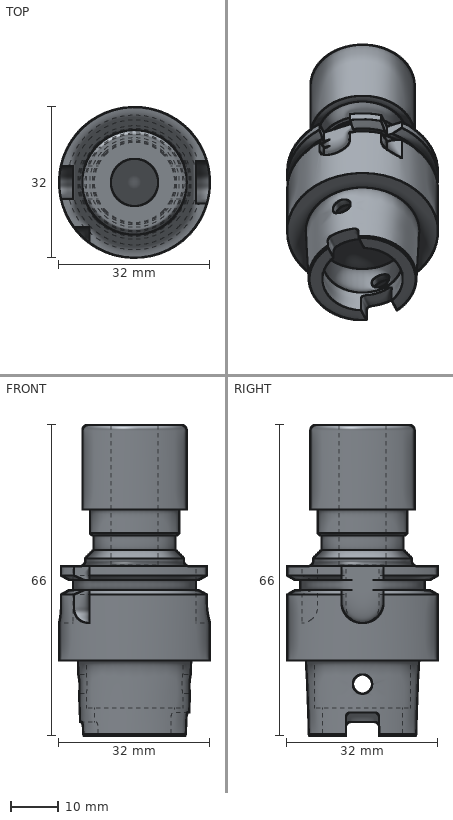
import cadquery as cq
import math

TOTAL_HEIGHT = 66.0
SHANK_TOP = 16.0
GROOVE_LOWER_RIM = 29.95
GROOVE_BEVEL_HEIGHT = 1.0
GROOVE_UPPER_RIM = 34.05
FLANGE_TOP = 36.05
CONE_BOTTOM = 37.7
CONE_TOP = 39.5
NECK_TOP = 42.5
HEAD_BOTTOM = 48.0

FLANGE_DIAMETER = 32.0
FLANGE_RADIUS = FLANGE_DIAMETER / 2
GROOVE_RADIUS = 13.25
GROOVE_BEVEL_ANGLE = 30.0
SHANK_TOP_DIAMETER = 24.1
SHANK_END_DIAMETER = 22.9
SHANK_CHAMFER_RADIAL = 0.2
SHANK_CHAMFER_HEIGHT = 0.45
BASE_RADIUS = 10.5
BASE_FILLET = 1.05
NECK_RADIUS = 8.7
COLLAR_RADIUS = 9.5
COLLAR_CHAMFER = 0.5
HEAD_RADIUS = 11.1
HEAD_FILLET = 1.25

TOOL_BORE_DIAMETER = 10.0
TOOL_BORE_DEPTH = 29.7
SHANK_MOUTH_DIAMETER = 17.0
SHANK_MOUTH_HEIGHT = 5.95
SHANK_RECESS_DIAMETER = 20.45
CROSS_HOLE_DIAMETER = 4.0
CROSS_HOLE_HEIGHT = 11.0

SLOT_BOTTOM = 23.95
KEYWAY_FLOOR = 13.1
NARROW_SLOT_WIDTH = 7.0
WIDE_KEYWAY_WIDTH = 9.0
NOTCH_FLOOR = 9.5
NOTCH_CENTER_Y = -13.0

DRIVER_SLOT_WIDTH = 7.0
LEFT_DRIVER_SLOT_DEPTH = 3.0
RIGHT_DRIVER_SLOT_DEPTH = 5.0
DRIVER_SLOT_FILLET = 1.0


def turned_body():
    """Shank, grooved flange, neck, collar and head as one revolved profile."""
    bevel_radius = FLANGE_RADIUS - GROOVE_BEVEL_HEIGHT / math.tan(math.radians(GROOVE_BEVEL_ANGLE))
    fillet_mid = BASE_FILLET * (1 - math.sqrt(0.5))
    profile = (
        cq.Workplane("XZ")
        .lineTo(SHANK_END_DIAMETER / 2 - SHANK_CHAMFER_RADIAL, 0)
        .lineTo(SHANK_END_DIAMETER / 2, SHANK_CHAMFER_HEIGHT)
        .lineTo(SHANK_TOP_DIAMETER / 2, SHANK_TOP)
        .lineTo(FLANGE_RADIUS, SHANK_TOP)
        .lineTo(FLANGE_RADIUS, GROOVE_LOWER_RIM)
        .lineTo(bevel_radius, GROOVE_LOWER_RIM + GROOVE_BEVEL_HEIGHT)
        .lineTo(GROOVE_RADIUS, GROOVE_LOWER_RIM + GROOVE_BEVEL_HEIGHT)
        .lineTo(GROOVE_RADIUS, GROOVE_UPPER_RIM - GROOVE_BEVEL_HEIGHT)
        .lineTo(bevel_radius, GROOVE_UPPER_RIM - GROOVE_BEVEL_HEIGHT)
        .lineTo(FLANGE_RADIUS, GROOVE_UPPER_RIM)
        .lineTo(FLANGE_RADIUS, FLANGE_TOP)
        .lineTo(BASE_RADIUS + BASE_FILLET, FLANGE_TOP)
        .threePointArc(
            (BASE_RADIUS + fillet_mid, FLANGE_TOP + fillet_mid),
            (BASE_RADIUS, FLANGE_TOP + BASE_FILLET),
        )
        .lineTo(BASE_RADIUS, CONE_BOTTOM)
        .lineTo(NECK_RADIUS, CONE_TOP)
        .lineTo(NECK_RADIUS, NECK_TOP)
        .lineTo(COLLAR_RADIUS - COLLAR_CHAMFER, NECK_TOP)
        .lineTo(COLLAR_RADIUS, NECK_TOP + COLLAR_CHAMFER)
        .lineTo(COLLAR_RADIUS, HEAD_BOTTOM)
        .lineTo(HEAD_RADIUS, HEAD_BOTTOM)
        .lineTo(HEAD_RADIUS, TOTAL_HEIGHT)
        .lineTo(0, TOTAL_HEIGHT)
        .close()
    )
    body = profile.revolve(360, (0, 0, 0), (0, 1, 0))
    return body.faces(">Z").edges().fillet(HEAD_FILLET)


def bores():
    """Tool bore from above, hollow shank with its clamping recess,
    and the cross hole through it."""
    tool_bore = (
        cq.Workplane("XY", origin=(0, 0, TOTAL_HEIGHT))
        .circle(TOOL_BORE_DIAMETER / 2)
        .extrude(-TOOL_BORE_DEPTH)
    )
    shank_bore = (
        cq.Workplane("XY")
        .circle(SHANK_MOUTH_DIAMETER / 2)
        .extrude(SHANK_MOUTH_HEIGHT)
        .faces(">Z")
        .workplane()
        .circle(SHANK_RECESS_DIAMETER / 2)
        .extrude(SHANK_TOP - SHANK_MOUTH_HEIGHT)
    )
    cross_hole = (
        cq.Workplane("YZ")
        .center(0, CROSS_HOLE_HEIGHT)
        .circle(CROSS_HOLE_DIAMETER / 2)
        .extrude(FLANGE_RADIUS, both=True)
    )
    return tool_bore.union(shank_bore).union(cross_hole)


def flange_slot(side, floor, center_y, width):
    """Round-ended slot open upward and outward; side is -1 or +1 along X."""
    radius = width / 2
    return (
        cq.Workplane("YZ", origin=(side * floor, 0, 0))
        .moveTo(center_y - radius, FLANGE_TOP)
        .lineTo(center_y - radius, SLOT_BOTTOM + radius)
        .threePointArc((center_y, SLOT_BOTTOM), (center_y + radius, SLOT_BOTTOM + radius))
        .lineTo(center_y + radius, FLANGE_TOP)
        .close()
        .extrude(side * FLANGE_RADIUS)
    )


def driver_slot(side, depth):
    """Slot through one shank wall at its lower end, with rounded inner corners."""
    return (
        cq.Workplane("XY")
        .box(FLANGE_RADIUS, DRIVER_SLOT_WIDTH, depth, centered=(False, True, False))
        .edges("|X and >Z")
        .fillet(DRIVER_SLOT_FILLET)
        .translate((0 if side > 0 else -FLANGE_RADIUS, 0, 0))
    )


result = (
    turned_body()
    .cut(bores())
    .cut(flange_slot(-1, KEYWAY_FLOOR, 0, NARROW_SLOT_WIDTH))
    .cut(flange_slot(1, KEYWAY_FLOOR, 0, WIDE_KEYWAY_WIDTH))
    .cut(flange_slot(-1, NOTCH_FLOOR, NOTCH_CENTER_Y, NARROW_SLOT_WIDTH))
    .cut(driver_slot(-1, LEFT_DRIVER_SLOT_DEPTH))
    .cut(driver_slot(1, RIGHT_DRIVER_SLOT_DEPTH))
)